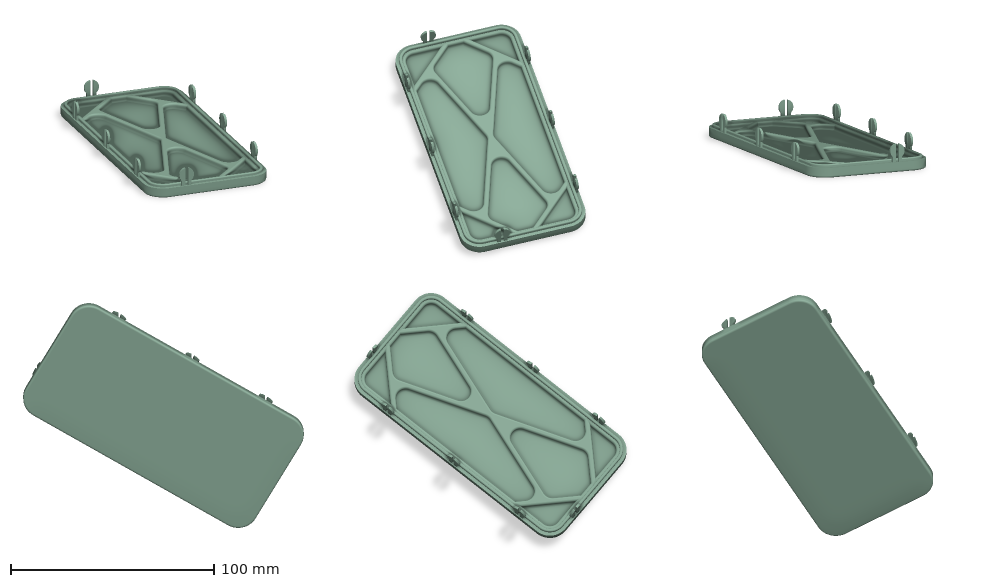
import cadquery as cq
import math

length = 131.3
width = 64.0
plate_height = 5.0
corner_radius = 10.0
bottom_fillet = 0.98

lip_inset = 1.7
lip_width = 1.6
lip_height = 1.5
lip_fillet = 0.55

pocket_inset = 5.1
pocket_depth = 2.6
pocket_fillet = 0.98
pocket_corner_radius = 4.9
rib_width = 2.8
cross_rib_angle = 19.3
corner_rib_reach = 66.5

total_height = 14.2
tab_inset = 0.5
tab_head_radius = 3.8
tab_stem_width = 5.1
tab_slot_width = 1.6
tab_spacing = 41.9
tab_row_offset = 1.7
side_tab_y = -13.0

floor_level = plate_height - pocket_depth
tab_thickness = lip_inset - tab_inset
tab_head_z = total_height - math.sqrt(tab_head_radius**2 - (tab_slot_width / 2) ** 2)


def rounded_plate(inset, bottom, height):
    """Block that follows the plate outline at a constant inset."""
    return (
        cq.Workplane("XY", origin=(0, 0, bottom))
        .rect(length - 2 * inset, width - 2 * inset)
        .extrude(height)
        .edges("|Z")
        .fillet(corner_radius - inset)
    )


def pocket_region(outline, rounded_points):
    """Pocket cutter over an outline, kept inside the pocketed area and rounded at the given corners."""
    cutter = cq.Workplane("XY", origin=(0, 0, floor_level)).polyline(outline).close().extrude(pocket_depth)
    for x, y in rounded_points:
        corner = cq.selectors.NearestToPointSelector((x, y, floor_level + pocket_depth / 2))
        cutter = cutter.edges("|Z").edges(corner).fillet(pocket_corner_radius)
    cutter = cutter.intersect(rounded_plate(pocket_inset, floor_level, pocket_depth))
    return cutter.faces("<Z").edges().fillet(pocket_fillet)


def pocket_cutters():
    """Two long pockets, two end pockets and four triangular corner pockets."""
    angle = math.radians(cross_rib_angle)
    slope = math.tan(angle)
    cross_rise = rib_width / 2 / math.cos(angle)
    inner_reach = corner_rib_reach - rib_width / math.sqrt(2)
    outer_reach = corner_rib_reach + rib_width / math.sqrt(2)

    long_x = (inner_reach - cross_rise) / (1 + slope)
    long_y = inner_reach - long_x
    end_x = (inner_reach + cross_rise) / (1 + slope)
    end_y = inner_reach - end_x
    end_tip = cross_rise / slope

    cutters = []
    for side in (1, -1):
        long_corners = [(-long_x, side * long_y), (0, side * cross_rise), (long_x, side * long_y)]
        long_rim = [(inner_reach - width / 2, side * width / 2), (width / 2 - inner_reach, side * width / 2)]
        cutters.append(pocket_region(long_corners + long_rim, long_corners))

        end_corners = [(side * end_x, -end_y), (side * end_tip, 0), (side * end_x, end_y)]
        end_rim = [
            (side * length / 2, inner_reach - length / 2),
            (side * length / 2, length / 2 - inner_reach),
        ]
        cutters.append(pocket_region(end_corners + end_rim, end_corners))

        for end in (1, -1):
            triangle = [
                (end * length / 2, side * width / 2),
                (end * (outer_reach - width / 2), side * width / 2),
                (end * length / 2, side * (outer_reach - length / 2)),
            ]
            cutters.append(pocket_region(triangle, []))
    return cutters


def ribbed_plate():
    plate = rounded_plate(0, 0, plate_height)
    for cutter in pocket_cutters():
        plate = plate.cut(cutter)
    rims = [edge for wire in plate.faces(">Z").val().innerWires() for edge in wire.Edges()]
    plate = plate.newObject(rims).fillet(pocket_fillet)
    return plate.faces("<Z").edges().fillet(bottom_fillet)


def lip():
    outer = rounded_plate(lip_inset, plate_height, lip_height)
    inner = rounded_plate(lip_inset + lip_width, plate_height, lip_height)
    return outer.cut(inner).faces(">Z").edges().fillet(lip_fillet)


def tab(x, y, turn):
    """Split round-headed tab; with no turn its broad faces look along Y."""
    stem_height = tab_head_z - plate_height
    stem = cq.Workplane("XY").box(tab_stem_width, tab_thickness, stem_height, centered=(True, True, False))
    head = (
        cq.Workplane("XZ", origin=(0, tab_thickness / 2, stem_height))
        .circle(tab_head_radius)
        .extrude(tab_thickness)
    )
    slot = cq.Workplane("XY").box(tab_slot_width, tab_thickness, total_height, centered=(True, True, False))
    shape = stem.union(head).cut(slot)
    return shape.rotate((0, 0, 0), (0, 0, 1), turn).translate((x, y, plate_height))


result = ribbed_plate().union(lip())
tab_middle = tab_inset + tab_thickness / 2
for side in (1, -1):
    for step in (-1, 0, 1):
        result = result.union(tab(tab_row_offset + step * tab_spacing, side * (width / 2 - tab_middle), 0))
    result = result.union(tab(side * (length / 2 - tab_middle), side_tab_y, 90))